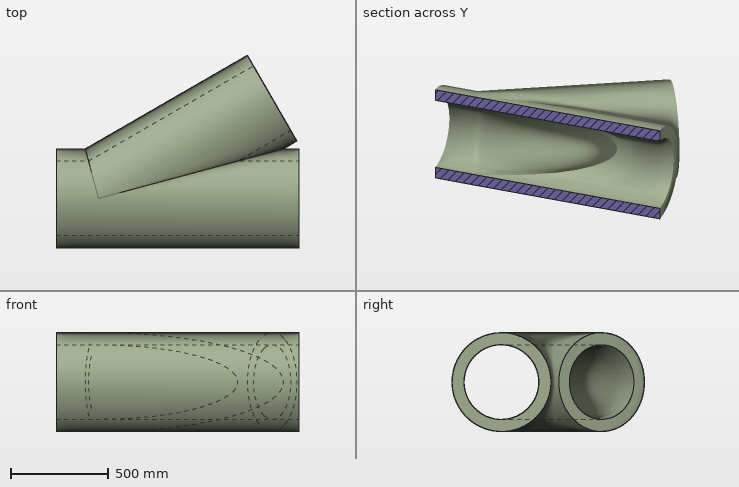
import cadquery as cq
import math

OUTER_DIAMETER = 508.0
BORE_DIAMETER = 382.57
INLET_LENGTH = 215.9
OUTLET_LENGTH = 1028.7
BRANCH_ANGLE = 30.0


def cylinder_along(angle, diameter, start, end):
    """Cylinder on a centreline through the origin, from start to end along it."""
    slope = math.radians(angle)
    direction = cq.Vector(math.cos(slope), math.sin(slope), 0)
    return cq.Workplane(
        cq.Solid.makeCylinder(diameter / 2, end - start, direction * start, direction)
    )


def joined_legs(diameter):
    """Run and branch cylinders of one diameter, fused together."""
    run = cylinder_along(0, diameter, -INLET_LENGTH, OUTLET_LENGTH)
    branch = cylinder_along(BRANCH_ANGLE, diameter, 0, OUTLET_LENGTH)
    return run.union(branch)


outer_body = joined_legs(OUTER_DIAMETER)
flow_passage = joined_legs(BORE_DIAMETER)

result = outer_body.cut(flow_passage)